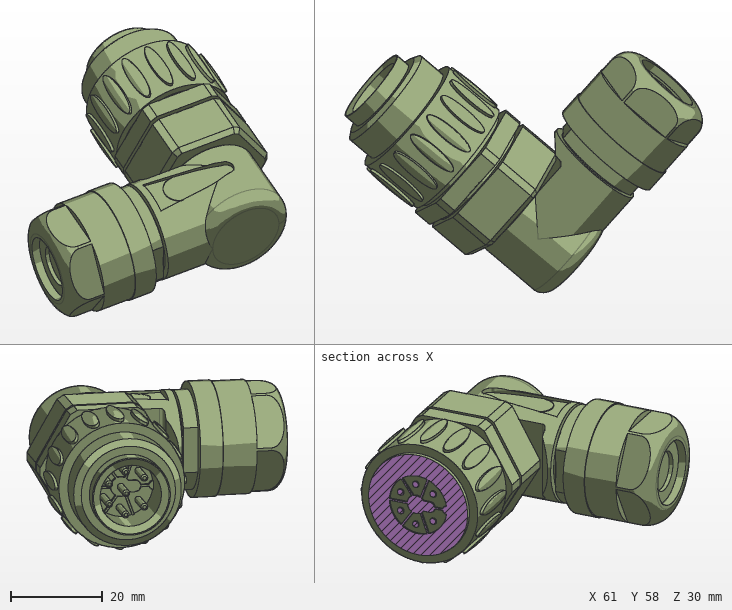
import cadquery as cq
import math


TUBE_DIA = 17.4
MOUTH_DIA = 16.85
BORE_DIA = 13.7
MOUTH_TAPER = 0.6
SOCKET_DEPTH = 9.75

COLLAR_START = 3.25
COLLAR_CHAMFER_END = 4.15
COLLAR_TIP_DIA = 21.0
COLLAR_DIA = 24.0

GRIP_START = 10.3
GRIP_END = 24.85
GRIP_DIA = 28.0
GRIP_RIB_COUNT = 16
GRIP_OVERALL_DIA = 30.0
RIB_TOP_RADIUS = GRIP_OVERALL_DIA / 2
RIB_LENGTH = 12.2
RIB_WIDTH = 3.05
RIB_CROWN_RADIUS = 3.05
RIB_END_DROP = 0.3

COUPLING_DIA = 25.0
GROOVE_DIA = 24.7
RING_START = 25.9
RING_END = 30.0
NUT_START = 30.8
NUT_END = 41.35
NUT_CHAMFER = 1.05
PLUG_ACROSS_FLATS = 26.85
PLUG_ACROSS_CORNERS = 30.0

PIN_DIA = 1.5
PIN_CHAMFER = 0.35
PIN_TIP_X = 2.8
PIN_CIRCLE_RADIUS = 4.8
PIN_SPACING = 55.0
PIN_COUNT = 6
CENTRE_PIN_Y = 0.5
WALL_HEIGHT = 0.6
WALL_WIDTH = 0.5
HUB_RADIUS = 2.2
TONGUE_WIDTH = 2.55
TONGUE_TIP_Y = -4.0
KEY_RADIUS = 1.0

GLAND_X = 48.3
ELBOW_RADIUS = 11.1
ELBOW_START_X = 41.7
ELBOW_NECK_DIA = 21.1
ELBOW_END_X = GLAND_X + ELBOW_RADIUS
ELBOW_FILLET = 3.0
ELBOW_BOTTOM_Y = -19.0
RELIEF_WALL_X = ELBOW_START_X
RELIEF_FLOOR_Y = -15.9
RELIEF_FILLET = 1.0
RELIEF_SLOPE_X = 39.55
RELIEF_SLOPE_END_Y = -18.25

LABEL_FLOOR_Z = 9.95
LABEL_STEP = 0.2
LABEL_BOTTOM_Y = -17.35
LABEL_TIP_Y = 2.55
LABEL_BOTTOM_HALF = 4.35
LABEL_MIDDLE_Y = -7.6
LABEL_MIDDLE_HALF = 3.3
LABEL_SHOULDER_Y = -2.75
LABEL_SHOULDER_HALF = 2.6
LABEL_TOP_Y = 0.75
LABEL_TOP_HALF = 1.8
PLAQUE_SIDE_Y = -10.7
PLAQUE_BOTTOM_Y = -14.15

SEAL_GROOVE_DIA = 19.2
NECK_START_Y = -19.55
NECK_DIA = 22.0
NECK_ACROSS_FLATS = 19.55
FLANGE_START_Y = -22.8
FLANGE_END_Y = -27.85
FLANGE_DIA = 25.5
CAP_DIA = 25.0
CAP_FLATS_Y = -35.4
CAP_ACROSS_FLATS = 22.0
OVERALL_WIDTH = 58.0
CAP_END_Y = RIB_TOP_RADIUS - OVERALL_WIDTH
CAP_ROUND = 4.4
CABLE_DIA = 14.5
CABLE_DEPTH = 1.85
INNER_CABLE_DIA = 9.0
INNER_CABLE_DEPTH = 0.9


def rod_x(start, end, dia):
    """Cylinder along X on the plug axis."""
    return cq.Workplane("YZ", origin=(start, 0, 0)).circle(dia / 2).extrude(end - start)


def rod_y(start, end, dia):
    """Cylinder along -Y on the gland axis, from the higher start to the lower end."""
    return cq.Workplane("XZ", origin=(GLAND_X, start, 0)).circle(dia / 2).extrude(start - end)


def hexagon_points(across_flats, first_corner):
    corner_radius = across_flats / 2 / math.cos(math.pi / 6)
    angles = [math.radians(first_corner + 60 * i) for i in range(6)]
    return [(corner_radius * math.cos(a), corner_radius * math.sin(a)) for a in angles]


def plug_hexagon(start, end):
    """Hexagon with corners toward +-Y, every corner cut off flat."""
    length = end - start
    base = cq.Workplane("YZ", origin=(start, 0, 0))
    hexagon = base.polyline(hexagon_points(PLUG_ACROSS_FLATS, 0)).close().extrude(length)
    cutter = base.polyline(hexagon_points(PLUG_ACROSS_CORNERS, 30)).close().extrude(length)
    return hexagon.intersect(cutter)


def collar():
    return (
        cq.Workplane("XY")
        .moveTo(COLLAR_START, 0)
        .lineTo(COLLAR_START, COLLAR_TIP_DIA / 2)
        .lineTo(COLLAR_CHAMFER_END, COLLAR_DIA / 2)
        .lineTo(GRIP_START, COLLAR_DIA / 2)
        .lineTo(GRIP_START, 0)
        .close()
        .revolve(360, (0, 0, 0), (1, 0, 0))
    )


def grip_rib():
    """Elliptical pad with a crowned top, standing on the +Z side of the grip."""
    middle = (GRIP_START + GRIP_END) / 2
    axis_z = RIB_TOP_RADIUS - RIB_CROWN_RADIUS
    end_height = RIB_TOP_RADIUS - RIB_END_DROP
    pad = (
        cq.Workplane("XY", origin=(middle, 0, axis_z))
        .ellipse(RIB_LENGTH / 2, RIB_WIDTH / 2)
        .extrude(RIB_CROWN_RADIUS)
    )
    crown = (
        cq.Workplane("XZ")
        .moveTo(middle - RIB_LENGTH / 2, axis_z)
        .lineTo(middle - RIB_LENGTH / 2, end_height)
        .threePointArc((middle, RIB_TOP_RADIUS), (middle + RIB_LENGTH / 2, end_height))
        .lineTo(middle + RIB_LENGTH / 2, axis_z)
        .close()
        .revolve(360, (0, axis_z, 0), (1, axis_z, 0))
    )
    return pad.intersect(crown)


def grip():
    body = rod_x(GRIP_START, GRIP_END, GRIP_DIA)
    rib = grip_rib()
    for i in range(GRIP_RIB_COUNT):
        body = body.union(rib.rotate((0, 0, 0), (1, 0, 0), i * 360 / GRIP_RIB_COUNT))
    return body


def socket():
    """Bore of the plug with its tapered mouth."""
    return (
        cq.Workplane("XY")
        .lineTo(0, MOUTH_DIA / 2)
        .lineTo(MOUTH_TAPER, BORE_DIA / 2)
        .lineTo(SOCKET_DEPTH, BORE_DIA / 2)
        .lineTo(SOCKET_DEPTH, 0)
        .close()
        .revolve(360, (0, 0, 0), (1, 0, 0))
    )


def pin(y, z):
    return (
        cq.Workplane("YZ", origin=(PIN_TIP_X, y, z))
        .circle(PIN_DIA / 2)
        .extrude(SOCKET_DEPTH - PIN_TIP_X)
        .faces("<X")
        .chamfer(PIN_CHAMFER)
    )


def insert_block(y_start, y_end, width):
    """Low wall on the socket floor, running along Y."""
    middle = (SOCKET_DEPTH - WALL_HEIGHT / 2, (y_start + y_end) / 2, 0)
    return cq.Workplane("XY").box(WALL_HEIGHT, y_end - y_start, width).translate(middle)


def insert_disc(y, radius):
    """Low round pad on the socket floor."""
    start = SOCKET_DEPTH - WALL_HEIGHT
    return cq.Workplane("YZ", origin=(start, y, 0)).circle(radius).extrude(WALL_HEIGHT)


def insert():
    """Contact pins, with hub, tongue, key and the partition walls between the pins."""
    bore_radius = BORE_DIA / 2
    tongue_radius = TONGUE_WIDTH / 2
    tongue_centre_y = TONGUE_TIP_Y + tongue_radius
    body = insert_disc(CENTRE_PIN_Y, HUB_RADIUS)
    body = body.union(insert_disc(tongue_centre_y, tongue_radius))
    body = body.union(insert_block(tongue_centre_y, CENTRE_PIN_Y, TONGUE_WIDTH))
    body = body.union(insert_block(-bore_radius, TONGUE_TIP_Y, WALL_WIDTH))
    body = body.union(insert_disc(-bore_radius, KEY_RADIUS))
    wall = insert_block(HUB_RADIUS - CENTRE_PIN_Y, bore_radius, WALL_WIDTH)
    for i in range(PIN_COUNT - 1):
        angle = (i - (PIN_COUNT - 2) / 2) * PIN_SPACING
        body = body.union(wall.rotate((0, 0, 0), (1, 0, 0), angle))
    body = body.union(pin(CENTRE_PIN_Y, 0))
    for i in range(PIN_COUNT):
        angle = math.radians((i - (PIN_COUNT - 1) / 2) * PIN_SPACING)
        body = body.union(pin(PIN_CIRCLE_RADIUS * math.cos(angle), PIN_CIRCLE_RADIUS * math.sin(angle)))
    return body


def plug():
    body = rod_x(0, COLLAR_START, TUBE_DIA)
    body = body.union(collar())
    body = body.union(grip())
    body = body.union(rod_x(GRIP_END, RING_START, COUPLING_DIA))
    body = body.union(plug_hexagon(RING_START, RING_END))
    body = body.union(rod_x(RING_END, NUT_START, GROOVE_DIA))
    body = body.union(plug_hexagon(NUT_START, NUT_END).faces(">X").chamfer(NUT_CHAMFER))
    return body.cut(socket()).union(insert())


def relief():
    """Clearance beside the plug nut: a wall, a filleted floor and a slope down to the rim."""
    outer_x = GLAND_X - 2 * ELBOW_RADIUS
    rim_x = GLAND_X - ELBOW_RADIUS
    return (
        cq.Workplane("XY", origin=(0, 0, -ELBOW_RADIUS))
        .moveTo(RELIEF_WALL_X, ELBOW_RADIUS)
        .lineTo(RELIEF_WALL_X, RELIEF_FLOOR_Y + RELIEF_FILLET)
        .radiusArc((RELIEF_WALL_X - RELIEF_FILLET, RELIEF_FLOOR_Y), RELIEF_FILLET)
        .lineTo(RELIEF_SLOPE_X, RELIEF_FLOOR_Y)
        .lineTo(rim_x, RELIEF_SLOPE_END_Y)
        .lineTo(outer_x, RELIEF_SLOPE_END_Y)
        .lineTo(outer_x, ELBOW_RADIUS)
        .close()
        .extrude(2 * ELBOW_RADIUS)
    )


def label_recess():
    """Pointed flat recess, one step deeper around the foot of its plaque."""
    base = cq.Workplane("XY", origin=(GLAND_X, 0, LABEL_FLOOR_Z))
    recess = (
        base.moveTo(-LABEL_BOTTOM_HALF, LABEL_BOTTOM_Y)
        .lineTo(-LABEL_MIDDLE_HALF, LABEL_MIDDLE_Y)
        .threePointArc((-LABEL_SHOULDER_HALF, LABEL_SHOULDER_Y), (-LABEL_TOP_HALF, LABEL_TOP_Y))
        .threePointArc((0, LABEL_TIP_Y), (LABEL_TOP_HALF, LABEL_TOP_Y))
        .threePointArc((LABEL_SHOULDER_HALF, LABEL_SHOULDER_Y), (LABEL_MIDDLE_HALF, LABEL_MIDDLE_Y))
        .lineTo(LABEL_BOTTOM_HALF, LABEL_BOTTOM_Y)
        .close()
        .extrude(ELBOW_RADIUS)
    )
    side_slope = (LABEL_BOTTOM_HALF - LABEL_MIDDLE_HALF) / (LABEL_MIDDLE_Y - LABEL_BOTTOM_Y)
    plaque_half = LABEL_MIDDLE_HALF + side_slope * (LABEL_MIDDLE_Y - PLAQUE_SIDE_Y)
    foot = (
        base.moveTo(-LABEL_BOTTOM_HALF, LABEL_BOTTOM_Y)
        .lineTo(-plaque_half, PLAQUE_SIDE_Y)
        .threePointArc((0, PLAQUE_BOTTOM_Y), (plaque_half, PLAQUE_SIDE_Y))
        .lineTo(LABEL_BOTTOM_HALF, LABEL_BOTTOM_Y)
        .close()
        .extrude(-LABEL_STEP)
    )
    return recess.union(foot)


def elbow():
    neck = rod_x(NUT_END, ELBOW_START_X, ELBOW_NECK_DIA)
    barrel = rod_x(ELBOW_START_X, ELBOW_END_X, 2 * ELBOW_RADIUS)
    barrel = barrel.faces(">X").edges().fillet(ELBOW_FILLET)
    outlet = rod_y(0, ELBOW_BOTTOM_Y, 2 * ELBOW_RADIUS).cut(relief())
    return neck.union(barrel).union(outlet).cut(label_recess())


def gland_neck():
    """Seal groove under the elbow, then a neck with two flats facing +-X."""
    groove = rod_y(ELBOW_BOTTOM_Y, NECK_START_Y, SEAL_GROOVE_DIA)
    neck = rod_y(NECK_START_Y, FLANGE_START_Y, NECK_DIA)
    neck_middle = (GLAND_X, (NECK_START_Y + FLANGE_START_Y) / 2, 0)
    between_flats = cq.Workplane("XY").box(NECK_ACROSS_FLATS, NECK_START_Y - FLANGE_START_Y, NECK_DIA)
    return groove.union(neck.intersect(between_flats.translate(neck_middle)))


def gland_cap():
    """Clamping nut with a rounded end and six flats."""
    rounded = rod_y(FLANGE_END_Y, CAP_END_Y, CAP_DIA).faces("<Y").edges().fillet(CAP_ROUND)
    flats = (
        cq.Workplane("XZ", origin=(GLAND_X, CAP_FLATS_Y, 0))
        .polyline(hexagon_points(CAP_ACROSS_FLATS, 0))
        .close()
        .extrude(CAP_FLATS_Y - CAP_END_Y)
    )
    cap = rounded.intersect(flats.union(rod_y(FLANGE_END_Y, CAP_FLATS_Y, CAP_DIA)))
    cable_floor_y = CAP_END_Y + CABLE_DEPTH
    cap = cap.cut(rod_y(cable_floor_y, CAP_END_Y, CABLE_DIA))
    return cap.cut(rod_y(cable_floor_y + INNER_CABLE_DEPTH, cable_floor_y, INNER_CABLE_DIA))


def gland():
    flange = rod_y(FLANGE_START_Y, FLANGE_END_Y, FLANGE_DIA)
    return gland_neck().union(flange).union(gland_cap())


result = plug().union(elbow()).union(gland())